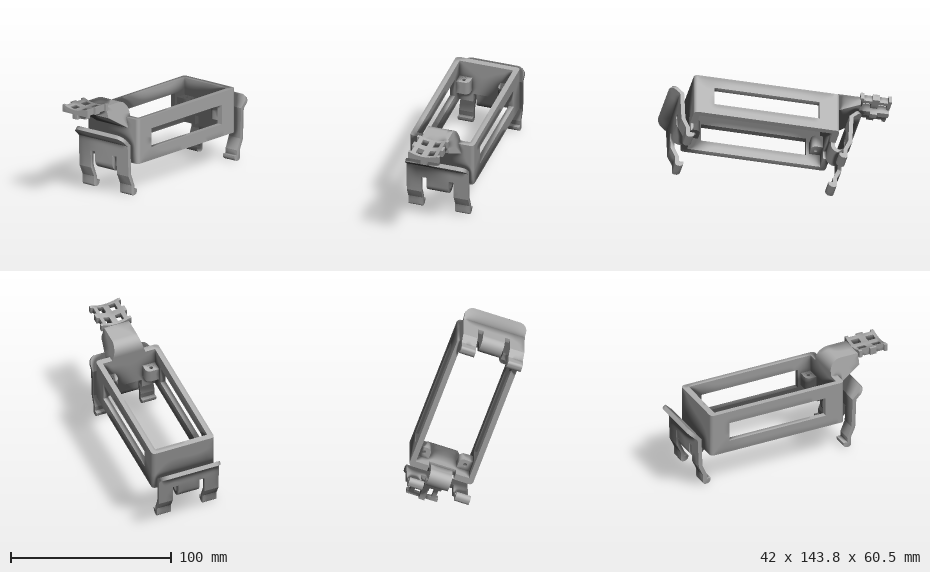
import cadquery as cq
import math

OVERALL_LENGTH = 143.8

FRAME_WIDTH = 42.0
FRAME_LENGTH = 92.9
FRAME_HEIGHT = 28.8
SIDE_WALL = 3.5
END_WALL = 4.0
CORNER_RADIUS = 2.3

WINDOW_LENGTH = 67.0
WINDOW_HEIGHT = 12.7
WINDOW_BOTTOM = 7.9

POST_BOTTOM = 9.0
POST_TOP = 17.7
POST_SIZE_X = 8.3
POST_SIZE_Y = 6.9
POST_RADIUS = 3.0
SCREW_X = 13.5
SCREW_Y = 38.8
SCREW_HOLE = 2.5
SCREW_COUNTERBORE = 4.7
COUNTERBORE_DEPTH = 0.1

NOTCH_WIDTH = 17.5
NOTCH_HEIGHT = 5.8

CLIP_WIDTH = 40.3
CLIP_SLOT_TOP = 4.9
LEG_WIDTH = 9.5
STRIP_WIDTH = 14.2
SHEET = 2.6
BEND_INNER_RADIUS = 2.9
BEND_Z = -0.6
PLATE_LEAN = 0.04
PLATE_TOP_INNER = 13.8
PLATE_TOP_OUTER = 13.4
FLARE_TIP_OUT = 61.5
FLARE_TIP_TOP = 20.7
FLARE_ANGLE = 45
FLARE_CORNER_RADIUS = 5.2
KNEE_INNER_Z = -5.6
KNEE_OUTER_Z = -6.5
ANKLE_Z = -12.8
ANKLE_OUT = 49.0
HOOK_TIP_OUT = 46.3
HOOK_TOP = -16.0
HOOK_BOTTOM = -19.5
HOOK_TIP_RADIUS = 2.7
HOOK_HEEL_RADIUS = 1.7

ARM_TOP = 38.8
ARM_END_OUT = 62.4
ARM_END_BOTTOM = 31.5
ARM_ROOT_BOTTOM = 22.0
ARM_TOP_RADIUS = 7.6
ARM_TOP_WIDTH = 16.7
ARM_SIDE_DRAFT = 15.4

TRAY_END_OUT = OVERALL_LENGTH - FLARE_TIP_OUT
TRAY_TOP = 41.0
TRAY_BOTTOM = 36.4
TRAY_WIDTH = 20.4
TRAY_DISH_WIDTH = 17.5
TRAY_DISH_DEPTH = 1.9
TRAY_RAIL_OUTER = 8.5
TRAY_RAIL_INNER = 5.9
TRAY_END_BAR = 2.2
TRAY_MIDDLE_BAR = 4.5
RIB_WIDTH = 3.7
RIB_BOTTOM = 33.4
NUB_BOTTOM = 31.6

HALF_LENGTH = FRAME_LENGTH / 2
INNER_OUT = HALF_LENGTH - END_WALL
INNER_X = FRAME_WIDTH / 2 - SIDE_WALL


def box(x_range, y_range, z_range):
    """Axis-aligned block spanning the three given (low, high) ranges."""
    sizes = [high - low for low, high in (x_range, y_range, z_range)]
    corner = (x_range[0], y_range[0], z_range[0])
    return cq.Workplane("XY").box(*sizes, centered=False).translate(corner)


def centred_box(width, y_range, z_range):
    return box((-width / 2, width / 2), y_range, z_range)


def make_frame():
    frame = centred_box(FRAME_WIDTH, (-HALF_LENGTH, HALF_LENGTH), (0, FRAME_HEIGHT))
    frame = frame.edges("|Z").fillet(CORNER_RADIUS)
    frame = frame.cut(centred_box(2 * INNER_X, (-INNER_OUT, INNER_OUT), (0, FRAME_HEIGHT)))
    window_y = (-WINDOW_LENGTH / 2, WINDOW_LENGTH / 2)
    window_z = (WINDOW_BOTTOM, WINDOW_BOTTOM + WINDOW_HEIGHT)
    frame = frame.cut(centred_box(FRAME_WIDTH, window_y, window_z))
    return frame.cut(centred_box(NOTCH_WIDTH, (-HALF_LENGTH, HALF_LENGTH), (0, NOTCH_HEIGHT)))


def make_post():
    """Screw post in the +X +Y inner corner."""
    post = box(
        (INNER_X - POST_SIZE_X, INNER_X),
        (INNER_OUT - POST_SIZE_Y, INNER_OUT),
        (POST_BOTTOM, POST_TOP),
    )
    post = post.edges("|Z and <X and <Y").fillet(POST_RADIUS)
    return (
        post.faces(">Z").workplane(origin=(SCREW_X, SCREW_Y, POST_TOP))
        .cboreHole(SCREW_HOLE, SCREW_COUNTERBORE, COUNTERBORE_DEPTH)
    )


def make_clip():
    """Spring clip on the +Y end: flared plate, two hooked legs and a bent strip to the frame."""
    bend_out = HALF_LENGTH + BEND_INNER_RADIUS
    bend_outer_radius = BEND_INNER_RADIUS + SHEET

    def plate_inner(z):
        return bend_out + BEND_INNER_RADIUS + PLATE_LEAN * (z - BEND_Z)

    def plate_outer(z):
        return plate_inner(z) + SHEET

    plate = (
        cq.Workplane("YZ")
        .moveTo(plate_inner(CLIP_SLOT_TOP), CLIP_SLOT_TOP)
        .lineTo(plate_inner(PLATE_TOP_INNER), PLATE_TOP_INNER)
        .lineTo(plate_outer(PLATE_TOP_OUTER), PLATE_TOP_OUTER)
        .lineTo(plate_outer(CLIP_SLOT_TOP), CLIP_SLOT_TOP)
        .close()
        .extrude(CLIP_WIDTH / 2, both=True)
    )

    tip_run = SHEET * math.cos(math.radians(FLARE_ANGLE))
    tip_drop = SHEET * math.sin(math.radians(FLARE_ANGLE))
    tip_inner = (FLARE_TIP_OUT - tip_run, FLARE_TIP_TOP)
    tip_outer = (FLARE_TIP_OUT, FLARE_TIP_TOP - tip_drop)
    flare = (
        cq.Workplane("YZ")
        .moveTo(plate_inner(PLATE_TOP_INNER), PLATE_TOP_INNER)
        .lineTo(*tip_inner)
        .lineTo(*tip_outer)
        .lineTo(plate_outer(PLATE_TOP_OUTER), PLATE_TOP_OUTER)
        .close()
        .extrude(CLIP_WIDTH / 2, both=True)
    )
    tip_face = cq.NearestToPointSelector((0, FLARE_TIP_OUT - tip_run / 2, FLARE_TIP_TOP - tip_drop / 2))
    flare = flare.faces(tip_face).edges("not |X").fillet(FLARE_CORNER_RADIUS)

    heel_out = ANKLE_OUT + SHEET
    legs = (
        cq.Workplane("YZ")
        .moveTo(plate_inner(CLIP_SLOT_TOP), CLIP_SLOT_TOP)
        .lineTo(plate_inner(KNEE_INNER_Z), KNEE_INNER_Z)
        .lineTo(ANKLE_OUT, ANKLE_Z)
        .lineTo(ANKLE_OUT, HOOK_TOP)
        .lineTo(HOOK_TIP_OUT, HOOK_TOP)
        .lineTo(HOOK_TIP_OUT, HOOK_BOTTOM + HOOK_TIP_RADIUS)
        .radiusArc((HOOK_TIP_OUT + HOOK_TIP_RADIUS, HOOK_BOTTOM), -HOOK_TIP_RADIUS)
        .lineTo(heel_out - HOOK_HEEL_RADIUS, HOOK_BOTTOM)
        .radiusArc((heel_out, HOOK_BOTTOM + HOOK_HEEL_RADIUS), -HOOK_HEEL_RADIUS)
        .lineTo(heel_out, ANKLE_Z)
        .lineTo(plate_outer(KNEE_OUTER_Z), KNEE_OUTER_Z)
        .lineTo(plate_outer(CLIP_SLOT_TOP), CLIP_SLOT_TOP)
        .close()
        .extrude(CLIP_WIDTH / 2, both=True)
    )
    gap = centred_box(CLIP_WIDTH - 2 * LEG_WIDTH, (0, FRAME_LENGTH), (HOOK_BOTTOM, CLIP_SLOT_TOP))
    legs = legs.cut(gap)

    strip = (
        cq.Workplane("YZ")
        .moveTo(HALF_LENGTH, NOTCH_HEIGHT)
        .lineTo(HALF_LENGTH, BEND_Z)
        .threePointArc((bend_out, BEND_Z - BEND_INNER_RADIUS), (plate_inner(BEND_Z), BEND_Z))
        .lineTo(plate_inner(CLIP_SLOT_TOP), CLIP_SLOT_TOP)
        .lineTo(plate_outer(CLIP_SLOT_TOP), CLIP_SLOT_TOP)
        .lineTo(plate_outer(BEND_Z), BEND_Z)
        .threePointArc((bend_out, BEND_Z - bend_outer_radius), (HALF_LENGTH - SHEET, BEND_Z))
        .lineTo(HALF_LENGTH - SHEET, NOTCH_HEIGHT)
        .close()
        .extrude(STRIP_WIDTH / 2, both=True)
    )
    return plate.union(flare).union(legs).union(strip)


def make_arm():
    """Arm on the +Y end: a side profile whose width shrinks towards the top."""
    profile = (
        cq.Workplane("YZ")
        .moveTo(INNER_OUT, ARM_ROOT_BOTTOM)
        .lineTo(INNER_OUT, ARM_TOP - ARM_TOP_RADIUS)
        .radiusArc((INNER_OUT + ARM_TOP_RADIUS, ARM_TOP), ARM_TOP_RADIUS)
        .lineTo(ARM_END_OUT, ARM_TOP)
        .lineTo(ARM_END_OUT, ARM_END_BOTTOM)
        .lineTo(HALF_LENGTH, ARM_ROOT_BOTTOM)
        .close()
        .extrude(FRAME_WIDTH / 2, both=True)
    )
    half_top = ARM_TOP_WIDTH / 2
    half_bottom = half_top + (ARM_TOP - ARM_ROOT_BOTTOM) * math.tan(math.radians(ARM_SIDE_DRAFT))
    drafted_sides = (
        cq.Workplane("XZ")
        .moveTo(-half_bottom, ARM_ROOT_BOTTOM)
        .lineTo(-half_top, ARM_TOP)
        .lineTo(half_top, ARM_TOP)
        .lineTo(half_bottom, ARM_ROOT_BOTTOM)
        .close()
        .extrude(-ARM_END_OUT)
    )
    return profile.intersect(drafted_sides)


def make_tray():
    """Dished lattice on the +Y end of the arm, stiffened by a rib underneath."""
    tray_length = TRAY_END_OUT - ARM_END_OUT
    middle_out = (ARM_END_OUT + TRAY_END_OUT) / 2
    tray = centred_box(TRAY_WIDTH, (ARM_END_OUT, TRAY_END_OUT), (TRAY_BOTTOM, TRAY_TOP))

    half_dish = TRAY_DISH_WIDTH / 2
    dish = (
        cq.Workplane("XZ", origin=(0, ARM_END_OUT, TRAY_TOP))
        .moveTo(-half_dish, 0)
        .threePointArc((0, -TRAY_DISH_DEPTH), (half_dish, 0))
        .close()
        .extrude(-tray_length)
    )
    tray = tray.cut(dish)

    opening_length = (tray_length - TRAY_MIDDLE_BAR) / 2 - TRAY_END_BAR
    row_starts = (ARM_END_OUT + TRAY_END_BAR, middle_out + TRAY_MIDDLE_BAR / 2)
    openings = ((RIB_WIDTH / 2, TRAY_RAIL_INNER), (TRAY_RAIL_OUTER, TRAY_WIDTH / 2))
    for start in row_starts:
        for near, far in openings:
            for x_range in ((near, far), (-far, -near)):
                opening = box(x_range, (start, start + opening_length), (TRAY_BOTTOM, TRAY_TOP))
                tray = tray.cut(opening)

    rib = centred_box(RIB_WIDTH, (ARM_END_OUT, TRAY_END_OUT), (RIB_BOTTOM, TRAY_BOTTOM))
    nub_y = (middle_out - TRAY_MIDDLE_BAR / 2, middle_out + TRAY_MIDDLE_BAR / 2)
    nub = centred_box(RIB_WIDTH, nub_y, (NUB_BOTTOM, RIB_BOTTOM))
    return tray.union(rib).union(nub)


def at_both_ends(shape):
    return shape.union(shape.mirror("XZ"))


corner_posts = at_both_ends(make_post())
corner_posts = corner_posts.union(corner_posts.mirror("YZ"))
handle = make_arm().union(make_tray()).mirror("XZ")
result = make_frame().union(corner_posts).union(at_both_ends(make_clip())).union(handle)